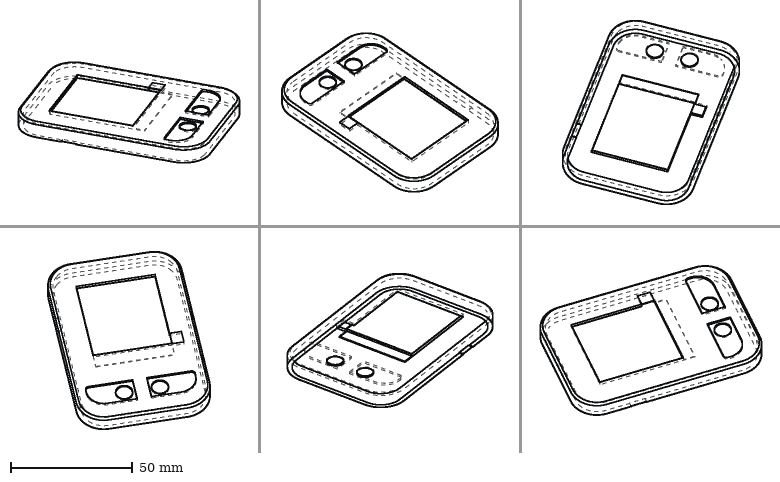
import cadquery as cq

length = 83.5
width = 56.0
height = 7.0
corner_radius = 11.5
top_chamfer = 1.0
wall = 2.0
plate_thickness = 1.5
plate_underside = height - plate_thickness

window_length = 36.8
window_width = 33.1
window_center_x = -10.5
window_right = window_center_x + window_length / 2
window_back = window_width / 2

side_relief_depth = 0.4
side_relief_length = 5.0

back_relief_depth = 1.2
back_relief_length = 5.6
back_relief_width = 5.0

button_pair_center_y = -0.1
recess_left = 23.7
recess_length = 10.1
recess_inner_y = 3.0
recess_outer_y = 23.0
recess_depth = 0.8
recess_large_radius = 7.35
recess_small_radius = 1.5
hole_diameter = 7.0
hole_center_y = 7.5

notch_length = 6.85
notch_height = 0.25
notch_center_x = -16.1


def box_between(x_range, y_range, z_range):
    """Axis-aligned box spanning the given limits."""
    (x0, x1), (y0, y1), (z0, z1) = x_range, y_range, z_range
    return cq.Workplane("XY").box(x1 - x0, y1 - y0, z1 - z0, centered=False).translate((x0, y0, z0))


def rounded_block(block_length, block_width, block_height, radius):
    """Upright block standing on Z = 0 with rounded vertical edges."""
    return cq.Workplane("XY").rect(block_length, block_width).extrude(block_height).edges("|Z").fillet(radius)


def case_shell():
    outer = rounded_block(length, width, height, corner_radius).faces(">Z").chamfer(top_chamfer)
    cavity = rounded_block(length - 2 * wall, width - 2 * wall, plate_underside, corner_radius - wall)
    return outer.cut(cavity)


def window_cut():
    opening = (
        cq.Workplane("XY").center(window_center_x, 0).rect(window_length, window_width).extrude(height)
    )
    side_relief = box_between(
        (window_right, window_right + side_relief_length),
        (-window_back, window_back),
        (plate_underside, plate_underside + side_relief_depth),
    )
    back_relief = box_between(
        (window_right - back_relief_length, window_right),
        (window_back, window_back + back_relief_width),
        (plate_underside, plate_underside + back_relief_depth),
    )
    return opening.union(side_relief).union(back_relief)


def back_button_cut():
    """Rear recess and hole, placed from the mirror line: square inner end, rounded outer corners."""
    recess = box_between(
        (recess_left, recess_left + recess_length),
        (recess_inner_y, recess_outer_y),
        (height - recess_depth, height),
    )
    recess = recess.edges("|Z and >Y and >X").fillet(recess_large_radius)
    recess = recess.edges("|Z and >Y and <X").fillet(recess_small_radius)
    hole = (
        cq.Workplane("XY")
        .center(recess_left + recess_length / 2, hole_center_y)
        .circle(hole_diameter / 2)
        .extrude(height)
    )
    return recess.union(hole)


def notch_cut():
    return box_between(
        (notch_center_x - notch_length / 2, notch_center_x + notch_length / 2),
        (-width / 2, -width / 2 + wall),
        (0, notch_height),
    )


back_button = back_button_cut()
button_pair = back_button.union(back_button.mirror("XZ")).translate((0, button_pair_center_y, 0))
result = case_shell().cut(window_cut()).cut(button_pair).cut(notch_cut())